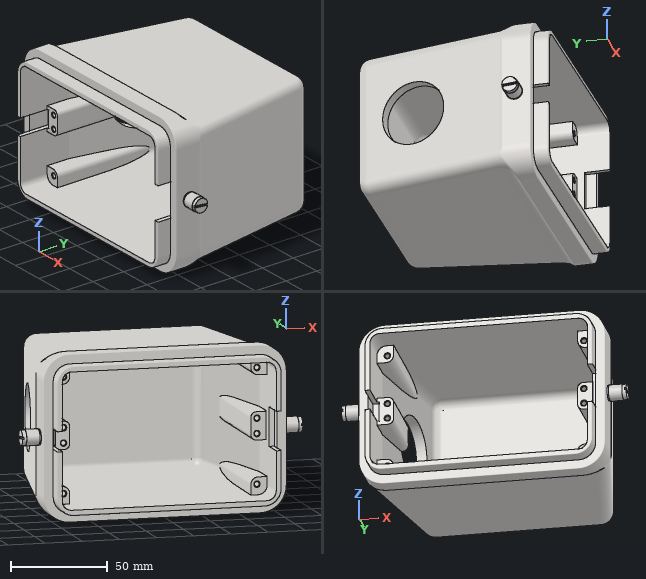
import cadquery as cq
import math


hood_length = 106.0
hood_height = 78.5
back_width = 98.8
side_lean = 10.85
hood_edge_radius = 7.0

flange_width = 130.7
flange_height = 88.5
flange_corner_radius = 14.0
flange_front = 8.0
flange_back = 16.7
blend_radius = 10.0
flange_lip_radius = 1.5
skirt_width = 120.5
skirt_height = 78.5
skirt_corner_radius = 9.0
skirt_overlap = 6.0
rim_edge_radius = 0.4

wall = 6.0
cavity_width = 115.0
cavity_mouth_height = 72.8
cavity_back_height = 71.5
cavity_edge_radius = 5.0

boss_front = 17.5
boss_inner_x = 48.7
corner_boss_inner_z = 26.9
corner_boss_radius = 4.0
centre_boss_height = 14.9
centre_boss_radius = 3.0
screw_x = 52.0
corner_screw_z = 30.7
centre_screw_z = 4.05
screw_diameter = 2.6
screw_mouth_chamfer = 0.4
screw_depth = 10.0

left_notch_height = 10.6
left_notch_inner_x = 56.4
left_notch_depth = 20.0
right_notch_height = 20.8
right_notch_depth = 13.7
right_gap_inner_x = 56.9
right_gap_depth = 20.0

pin_span = 150.8
pin_y = 16.6
pin_diameter = 8.3
sleeve_diameter = 8.7
sleeve_gap = 0.7
pin_tip_length = 2.2
pin_slot_width = 1.0
pin_slot_depth = 0.8
pin_slot_tilt = 5.0

entry_diameter = 35.4
entry_y = 74.0

pick_margin = 0.1

lean_ratio = math.tan(math.radians(side_lean))
back_half_width = back_width / 2
cavity_back = hood_length - wall


def outer_side_x(y):
    """Half width of the hood body, outside, at depth y."""
    return back_half_width + (hood_length - y) * lean_ratio


def inner_side_x(y):
    """Half width between the leaning inner wall faces at depth y."""
    return outer_side_x(y) - wall / math.cos(math.radians(side_lean))


def block(x_range, y_range, z_range):
    """Axis-aligned box given by its limits."""
    limits = (x_range, y_range, z_range)
    sizes = [high - low for low, high in limits]
    corner = [low for low, high in limits]
    return cq.Workplane("XY").box(*sizes, centered=False).translate(corner)


def rounded_prism(width, height, radius, y_start, y_end):
    """Prism along Y with a centred rectangular section and rounded corners."""
    return (
        cq.Workplane("XZ", origin=(0, y_start, 0))
        .rect(width, height)
        .extrude(y_start - y_end)
        .edges("|Y")
        .fillet(radius)
    )


def make_hood_body():
    """Tapered body with rounded edges everywhere except at the mouth."""
    front_half_width = outer_side_x(flange_front)
    return (
        cq.Workplane("XY", origin=(0, 0, -hood_height / 2))
        .moveTo(-front_half_width, flange_front)
        .lineTo(front_half_width, flange_front)
        .lineTo(back_half_width, hood_length)
        .lineTo(-back_half_width, hood_length)
        .close()
        .extrude(hood_height)
        .faces("not <Y")
        .edges("not <Y")
        .fillet(hood_edge_radius)
    )


def make_outer_shape():
    """Hood body blended into the flange, with the skirt in front."""
    plate_margin = 2 * blend_radius
    plate = block(
        (-flange_width / 2 - plate_margin, flange_width / 2 + plate_margin),
        (flange_front, flange_back),
        (-flange_height / 2 - plate_margin, flange_height / 2 + plate_margin),
    )
    joined = plate.union(make_hood_body())
    joint_edges = cq.selectors.BoxSelector(
        (-flange_width / 2 - blend_radius, flange_back - pick_margin, -flange_height / 2),
        (flange_width / 2 + blend_radius, flange_back + pick_margin, flange_height / 2),
    )
    blended = joined.edges(joint_edges).fillet(blend_radius)
    flange_prism = rounded_prism(
        flange_width, flange_height, flange_corner_radius, flange_front, hood_length
    )
    flanged = blended.intersect(flange_prism)
    flanged = flanged.faces("<Y").edges().fillet(rim_edge_radius)
    flanged = flanged.faces(">Z").edges(">Y").fillet(flange_lip_radius)
    skirt_end = flange_front + skirt_overlap
    skirt = rounded_prism(skirt_width, skirt_height, skirt_corner_radius, 0, skirt_end)
    skirt = skirt.faces("<Y").edges().fillet(rim_edge_radius)
    return flanged.union(skirt)


def make_bosses():
    """Screw bosses, long enough to run into the leaning side walls."""
    reach = (boss_front, cavity_back)
    bosses = cq.Workplane("XY")
    for side in (-1, 1):
        inner_face = "<X" if side > 0 else ">X"
        for level in (-1, 1):
            x_range = sorted((side * boss_inner_x, side * cavity_width))
            z_range = sorted((level * corner_boss_inner_z, level * cavity_mouth_height))
            boss = block(x_range, reach, z_range)
            level_edge = "<Z" if level > 0 else ">Z"
            boss = boss.faces(inner_face).edges(level_edge).fillet(corner_boss_radius)
            bosses = bosses.add(boss)
        x_range = sorted((side * boss_inner_x, side * cavity_width))
        boss = block(x_range, reach, (-centre_boss_height / 2, centre_boss_height / 2))
        bosses = bosses.add(boss.faces(inner_face).edges("|Y").fillet(centre_boss_radius))
    return bosses.combine()


def make_cavity():
    """Hollow of the hood: straight at the mouth, then following the leaning sides."""
    half_width = cavity_width / 2
    half_back = inner_side_x(cavity_back)
    lean_start = cavity_back - (half_width - half_back) / lean_ratio
    plan = (
        cq.Workplane("XY", origin=(0, 0, -flange_height / 2))
        .polyline(
            [
                (-half_width, 0),
                (half_width, 0),
                (half_width, lean_start),
                (half_back, cavity_back),
                (-half_back, cavity_back),
                (-half_width, lean_start),
            ]
        )
        .close()
        .extrude(flange_height)
    )
    section = (
        cq.Workplane("YZ", origin=(-flange_width / 2, 0, 0))
        .polyline(
            [
                (0, -cavity_mouth_height / 2),
                (cavity_back, -cavity_back_height / 2),
                (cavity_back, cavity_back_height / 2),
                (0, cavity_mouth_height / 2),
            ]
        )
        .close()
        .extrude(flange_width)
    )
    hollow = plan.intersect(section)
    hollow = hollow.edges("not(#Y or |Z)").fillet(cavity_edge_radius)
    return hollow.faces(">Y").edges().fillet(cavity_edge_radius)


def make_skirt_notches():
    """Notch through the left side of the skirt and a wider one on the right."""
    half_skirt = skirt_width / 2
    left = block(
        (-half_skirt, -left_notch_inner_x),
        (0, left_notch_depth),
        (-left_notch_height / 2, left_notch_height / 2),
    )
    right = block(
        (right_gap_inner_x, half_skirt),
        (0, right_notch_depth),
        (-right_notch_height / 2, right_notch_height / 2),
    )
    gap = block(
        (right_gap_inner_x, cavity_width / 2),
        (0, right_gap_depth),
        (-centre_boss_height / 2, centre_boss_height / 2),
    )
    return left.union(right).union(gap)


def make_screw_holes():
    """Blind holes with chamfered mouths in the front faces of all bosses."""
    places = [
        (side * screw_x, level * z)
        for side in (-1, 1)
        for level in (-1, 1)
        for z in (corner_screw_z, centre_screw_z)
    ]
    hole_radius = screw_diameter / 2
    profile = [
        (0, 0),
        (hole_radius + screw_mouth_chamfer, 0),
        (hole_radius, screw_mouth_chamfer),
        (hole_radius, screw_depth),
        (0, screw_depth),
    ]
    hole = cq.Workplane("XY").polyline(profile).close().revolve(axisStart=(0, 0), axisEnd=(0, 1))
    holes = cq.Workplane("XY")
    for x, z in places:
        holes = holes.add(hole.translate((x, boss_front, z)))
    return holes.combine()


def make_cable_entry():
    """Cutter for the round cable entry, its axis square to the left wall."""
    lean = math.radians(side_lean)
    inward = cq.Vector(math.cos(lean), -math.sin(lean), 0)
    centre = cq.Vector(-outer_side_x(entry_y), entry_y, 0)
    start = centre - inward * wall
    cutter_length = 3 * wall
    return cq.Workplane(cq.Solid.makeCylinder(entry_diameter / 2, cutter_length, start, inward))


def make_pin(side):
    """Locking pin with a wider sleeve and a screwdriver slot in its tip."""
    half_span = pin_span / 2
    flange_side = flange_width / 2
    root = (skirt_width / 2 + flange_side) / 2

    def rod(diameter, start, end):
        section = cq.Workplane("YZ", origin=(side * start, pin_y, 0)).circle(diameter / 2)
        return section.extrude(side * (end - start))

    core = rod(pin_diameter, root, half_span)
    sleeve = rod(sleeve_diameter, flange_side + sleeve_gap, half_span - pin_tip_length)
    slot = (
        cq.Workplane("XY")
        .box(2 * pin_slot_depth, sleeve_diameter, pin_slot_width)
        .rotate((0, 0, 0), (1, 0, 0), -pin_slot_tilt)
        .translate((side * half_span, pin_y, 0))
    )
    return core.union(sleeve).cut(slot)


hollow = make_cavity().cut(make_bosses())
result = make_outer_shape().cut(hollow).cut(make_skirt_notches())
result = result.cut(make_screw_holes()).cut(make_cable_entry())
for side in (-1, 1):
    result = result.union(make_pin(side))